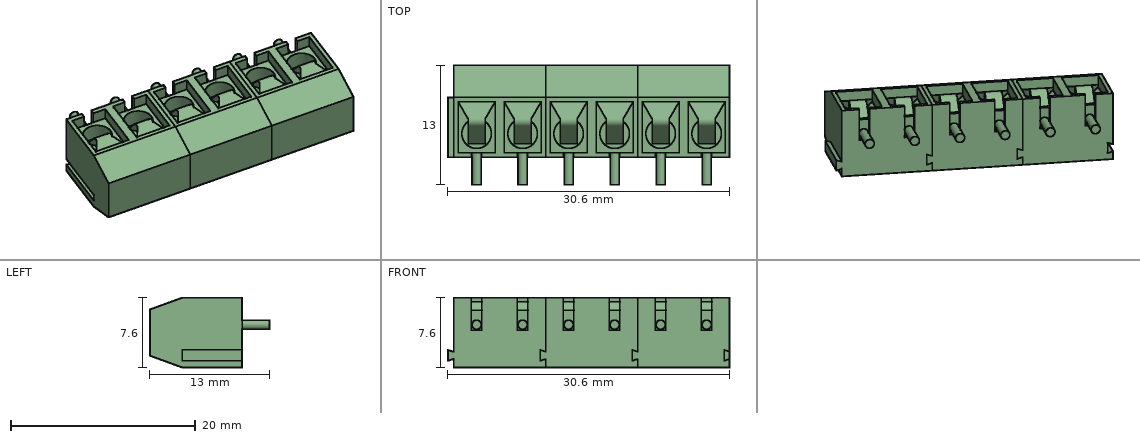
import cadquery as cq
import math

overall_length = 30.6
module_count = 3
poles_per_module = 2

tongue_depth = 0.6
module_width = (overall_length - tongue_depth) / module_count
housing_depth = 10.0
housing_height = 7.6
chamfer_run = 3.5
chamfer_angle = 20.0
chamfer_drop = chamfer_run * math.tan(math.radians(chamfer_angle))
flat_depth = housing_depth - chamfer_run

dovetail_center_z = 1.32
dovetail_tip_width = 1.2
dovetail_neck_width = 0.8

pole_pitch = module_width / poles_per_module
cell_width = 4.05
cell_front_wall = 0.52
cell_back_wall = 0.45
cell_back_y = flat_depth - cell_back_wall
cell_length = cell_back_y - cell_front_wall
cell_floor_z = 6.25

well_diameter = 3.2
well_center_y = 2.57
well_floor_z = 4.25

ridge_width = 1.87
ridge_top_z = 7.15
ridge_radius = 0.67
ridge_axis_y = 3.98
ridge_axis_z = ridge_top_z - ridge_radius
ridge_back_angle = 18.0
ridge_front_angle = 53.0

pin_diameter = 1.0
pin_length = 3.0
pin_center_z = 4.65
slot_width = 1.13
slot_floor_z = 4.05


def point_on_ridge(angle):
    """Point (y, z) on the ridge round, angle in degrees from vertical toward +Y."""
    turn = math.radians(angle)
    return (ridge_axis_y + ridge_radius * math.sin(turn), ridge_axis_z + ridge_radius * math.cos(turn))


def make_block():
    """Plain housing block, chamfered above and below along its back."""
    outline = [
        (0, 0),
        (flat_depth, 0),
        (housing_depth, chamfer_drop),
        (housing_depth, housing_height - chamfer_drop),
        (flat_depth, housing_height),
        (0, housing_height),
    ]
    return cq.Workplane("YZ").polyline(outline).close().extrude(module_width)


def make_dovetail(face_x):
    """Dovetail prism on the -X side of the plane x = face_x, widest at its tip."""
    outline = [
        (face_x, dovetail_center_z - dovetail_neck_width / 2),
        (face_x, dovetail_center_z + dovetail_neck_width / 2),
        (face_x - tongue_depth, dovetail_center_z + dovetail_tip_width / 2),
        (face_x - tongue_depth, dovetail_center_z - dovetail_tip_width / 2),
    ]
    return cq.Workplane("XZ").polyline(outline).close().extrude(-flat_depth)


def make_cell(pole_x):
    """Space of one cell: rectangular pocket, round well and front slot."""
    pocket = cq.Workplane("XY").box(
        cell_width, cell_length, housing_height - cell_floor_z, centered=(True, False, False)
    ).translate((pole_x, cell_front_wall, cell_floor_z))
    well = cq.Workplane("XY", origin=(pole_x, well_center_y, well_floor_z)).circle(
        well_diameter / 2).extrude(housing_height - well_floor_z)
    slot = cq.Workplane("XY").box(
        slot_width, cell_front_wall, housing_height - slot_floor_z, centered=(True, False, False)
    ).translate((pole_x, 0, slot_floor_z))
    return pocket.union(well).union(slot)


def make_ridge(pole_x):
    """Rounded ridge, steep toward the front, flaring to the cell width at the back."""
    back_tangent = point_on_ridge(ridge_back_angle)
    front_tangent = point_on_ridge(-ridge_front_angle)
    back_drop = (cell_back_y - back_tangent[0]) * math.tan(math.radians(ridge_back_angle))
    front_run = (front_tangent[1] - well_floor_z) / math.tan(math.radians(ridge_front_angle))
    toe_y = front_tangent[0] - front_run
    profile = (
        cq.Workplane("YZ", origin=(pole_x - cell_width / 2, 0, 0))
        .moveTo(toe_y, well_floor_z)
        .lineTo(*front_tangent)
        .threePointArc(point_on_ridge(0), back_tangent)
        .lineTo(cell_back_y, back_tangent[1] - back_drop)
        .lineTo(cell_back_y, well_floor_z)
        .close()
        .extrude(cell_width)
    )
    half_ridge = ridge_width / 2
    half_cell = cell_width / 2
    plan_outline = [
        (-half_ridge, toe_y),
        (half_ridge, toe_y),
        (half_ridge, back_tangent[0]),
        (half_cell, cell_back_y),
        (-half_cell, cell_back_y),
        (-half_ridge, back_tangent[0]),
    ]
    plan = cq.Workplane("XY", origin=(pole_x, 0, 0)).polyline(plan_outline).close().extrude(housing_height)
    return profile.intersect(plan)


def make_pin(pole_x):
    """Round pin from the inner end of the front slot to its tip."""
    return cq.Workplane("XZ", origin=(pole_x, cell_front_wall, pin_center_z)).circle(
        pin_diameter / 2).extrude(cell_front_wall + pin_length)


def make_module():
    """One terminal module: housing, clamp ridges and pins as a single solid."""
    module = make_block().union(make_dovetail(0)).cut(make_dovetail(module_width))
    for pole in range(poles_per_module):
        pole_x = (pole + 0.5) * pole_pitch
        module = module.cut(make_cell(pole_x)).union(make_ridge(pole_x)).union(make_pin(pole_x))
    return module


modules = [make_module().translate((index * module_width, 0, 0)) for index in range(module_count)]

result = cq.Compound.makeCompound([module.val() for module in modules])